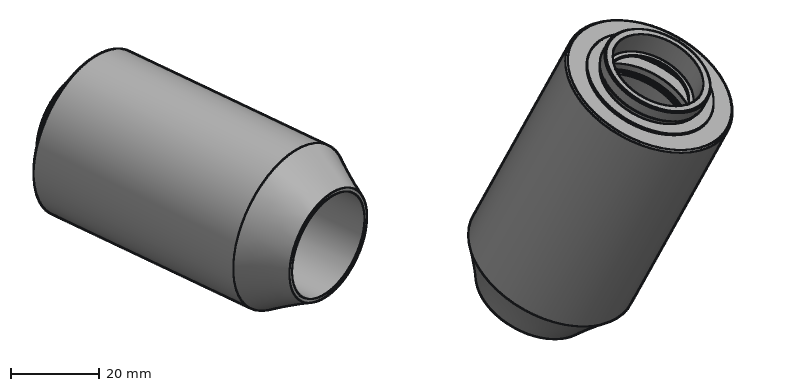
import cadquery as cq

LENGTH = 74.5
EDGE_BREAK = 0.3

MOUNT_DIAMETER = 26.0
MOUNT_END_X = 3.4
NECK_DIAMETER = 25.0

SEAT_DIAMETER = 31.0
SEAT_X = 4.5

BARREL_DIAMETER = 41.0
BARREL_X = 5.0
BARREL_CHAMFER = 0.45
NOSE_X = 63.3
NOSE_MID_X = (NOSE_X + LENGTH) / 2
TIP_DIAMETER = 28.15
NOSE_HOLLOW = 0.2
NOSE_MID_DIAMETER = (BARREL_DIAMETER + TIP_DIAMETER) / 2 - 2 * NOSE_HOLLOW

ENTRY_DIAMETER = 22.2
ENTRY_END_X = 5.7
LIP_DIAMETER = 20.0
LIP_THICKNESS = 0.5
LIP_END_X = ENTRY_END_X + LIP_THICKNESS

CHAMBER_DIAMETER = 35.2
CHAMBER_STEP_X = 11.5
CHAMBER_INNER_DIAMETER = 35.0
CHAMBER_CORNER_X = 12.5
CHAMBER_CORNER_DIAMETER = 34.9
CHAMBER_END_X = 12.8

COUNTERBORE_DIAMETER = 27.95
COUNTERBORE_STEP_X = 14.7
COUNTERBORE_INNER_DIAMETER = 27.8
COUNTERBORE_END_X = 15.35
MAIN_BORE_DIAMETER = 26.2

BORE_SECTIONS = [
    (ENTRY_END_X, ENTRY_DIAMETER),
    (LIP_END_X, LIP_DIAMETER),
    (CHAMBER_STEP_X, CHAMBER_DIAMETER),
    (CHAMBER_CORNER_X, CHAMBER_INNER_DIAMETER),
    (CHAMBER_END_X, CHAMBER_CORNER_DIAMETER),
    (COUNTERBORE_STEP_X, COUNTERBORE_DIAMETER),
    (COUNTERBORE_END_X, COUNTERBORE_INNER_DIAMETER),
    (LENGTH, MAIN_BORE_DIAMETER),
]


def outer_body():
    """Spin the outer outline about the X axis."""
    outline = (
        cq.Workplane("XY")
        .moveTo(0, 0)
        .lineTo(0, MOUNT_DIAMETER / 2 - EDGE_BREAK)
        .lineTo(EDGE_BREAK, MOUNT_DIAMETER / 2)
        .lineTo(MOUNT_END_X - EDGE_BREAK, MOUNT_DIAMETER / 2)
        .lineTo(MOUNT_END_X, NECK_DIAMETER / 2)
        .lineTo(SEAT_X, NECK_DIAMETER / 2)
        .lineTo(SEAT_X, SEAT_DIAMETER / 2)
        .lineTo(BARREL_X, SEAT_DIAMETER / 2)
        .lineTo(BARREL_X, BARREL_DIAMETER / 2 - BARREL_CHAMFER)
        .lineTo(BARREL_X + BARREL_CHAMFER, BARREL_DIAMETER / 2)
        .lineTo(NOSE_X, BARREL_DIAMETER / 2)
        .threePointArc((NOSE_MID_X, NOSE_MID_DIAMETER / 2), (LENGTH, TIP_DIAMETER / 2))
        .lineTo(LENGTH, 0)
        .close()
    )
    return outline.revolve(360, (0, 0, 0), (1, 0, 0))


def stepped_bore():
    """Join the bore sections end to end along the X axis."""
    outline = cq.Workplane("XY").moveTo(0, 0)
    start_x = 0
    for end_x, diameter in BORE_SECTIONS:
        outline = outline.lineTo(start_x, diameter / 2).lineTo(end_x, diameter / 2)
        start_x = end_x
    outline = outline.lineTo(LENGTH, 0).close()
    return outline.revolve(360, (0, 0, 0), (1, 0, 0))


result = outer_body().cut(stepped_bore())